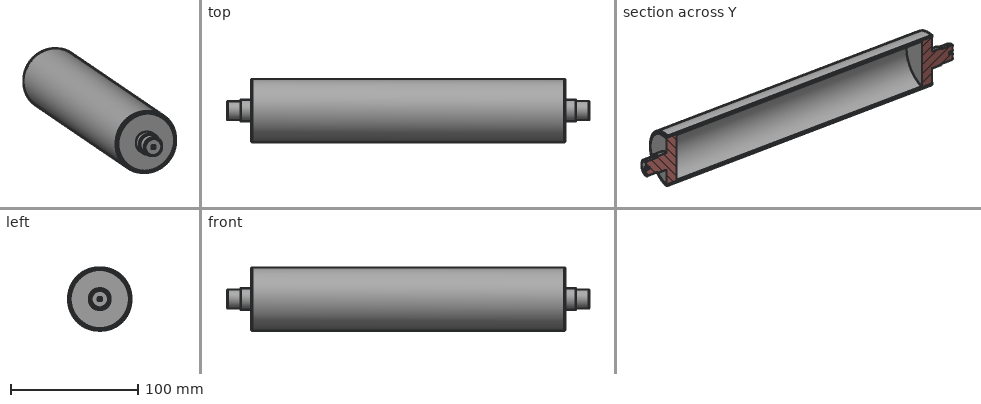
import cadquery as cq

overall_length = 285.0
tube_length = 247.0
tube_diameter = 50.0
tube_bore = 44.0
tube_chamfer = 1.08

plug_diameter = 46.0
plug_depth = 10.0
shoulder_diameter = 17.0
shoulder_length = 8.3
shoulder_chamfer = 0.5
seat_diameter = 15.0
seat_chamfer = 1.0
center_hole_diameter = 1.6
center_hole_depth = 3.5
countersink_diameter = 3.5
countersink_angle = 60

tube_end = tube_length / 2
journal_end = overall_length / 2
shoulder_end = tube_end + shoulder_length


def cylinder_along_x(diameter, start, end):
    """Solid cylinder on the X axis between two X positions."""
    return cq.Workplane("YZ", origin=(start, 0, 0)).circle(diameter / 2).extrude(end - start)


def make_tube():
    """Tube with chamfered rims, its bore widened at both ends to seat the plugs."""
    body = cylinder_along_x(tube_diameter, -tube_end, tube_end).edges().chamfer(tube_chamfer)
    bore = cylinder_along_x(tube_bore, -tube_end, tube_end)
    left_recess = cylinder_along_x(plug_diameter, -tube_end, -tube_end + plug_depth)
    right_recess = cylinder_along_x(plug_diameter, tube_end - plug_depth, tube_end)
    return body.cut(bore).cut(left_recess).cut(right_recess)


def make_end_journal():
    """Plug flush with the +X tube end, carrying a shoulder and a center-drilled bearing seat."""
    plug = cylinder_along_x(plug_diameter, tube_end - plug_depth, tube_end)
    shoulder = cylinder_along_x(shoulder_diameter, tube_end, shoulder_end)
    shoulder = shoulder.faces(">X").chamfer(shoulder_chamfer)
    seat = cylinder_along_x(seat_diameter, shoulder_end, journal_end)
    seat = seat.faces(">X").chamfer(seat_chamfer)
    body = plug.union(shoulder).union(seat)
    return body.faces(">X").workplane(origin=(journal_end, 0, 0)).cskHole(
        center_hole_diameter, countersink_diameter, countersink_angle, center_hole_depth
    )


tube = make_tube()

end_journals = []
for turn in (0, 180):
    end_journals.append(make_end_journal().rotate((0, 0, 0), (0, 0, 1), turn))

result = cq.Compound.makeCompound([tube.val(), *[journal.val() for journal in end_journals]])